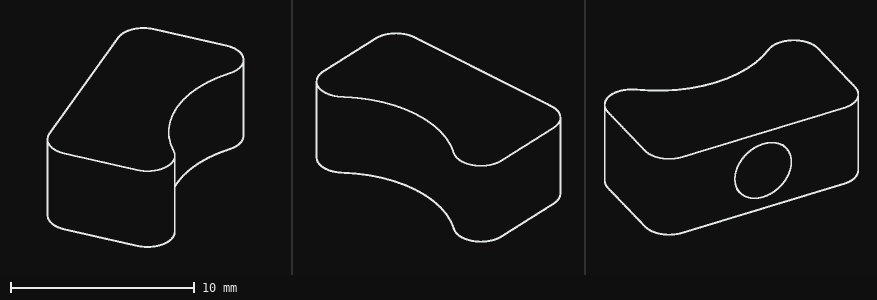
import cadquery as cq
import math

length = 13.0
width = 7.25
height = 5.0
corner_radius = 1.5

waist_width = 5.5

hole_diameter = 3.5
hole_depth = 3.9

tip_x = width - corner_radius
tip_y = length / 2 - corner_radius

tip_offset = tip_x - waist_width
saddle_radius = (tip_offset**2 + tip_y**2 - corner_radius**2) / (2 * (corner_radius + tip_offset))
saddle_x = waist_width + saddle_radius

tip_angle = math.atan2(tip_y, saddle_x - tip_x)
tangent_x = tip_x + corner_radius * math.cos(tip_angle)
tangent_y = tip_y - corner_radius * math.sin(tip_angle)


def make_body():
    """Extrude the rounded block with its saddle, centred on Y and Z."""
    half_length = length / 2
    back_arc_inset = corner_radius * (1 - math.sqrt(0.5))
    return (
        cq.Workplane("XY")
        .workplane(offset=-height / 2)
        .moveTo(0, -tip_y)
        .threePointArc((back_arc_inset, back_arc_inset - half_length), (corner_radius, -half_length))
        .lineTo(tip_x, -half_length)
        .threePointArc((width, -tip_y), (tangent_x, -tangent_y))
        .threePointArc((waist_width, 0), (tangent_x, tangent_y))
        .threePointArc((width, tip_y), (tip_x, half_length))
        .lineTo(corner_radius, half_length)
        .threePointArc((back_arc_inset, half_length - back_arc_inset), (0, tip_y))
        .close()
        .extrude(height)
    )


def make_hole():
    """Flat-bottomed cylinder running in from the flat side along +X."""
    return cq.Workplane("YZ").circle(hole_diameter / 2).extrude(hole_depth)


result = make_body().cut(make_hole())